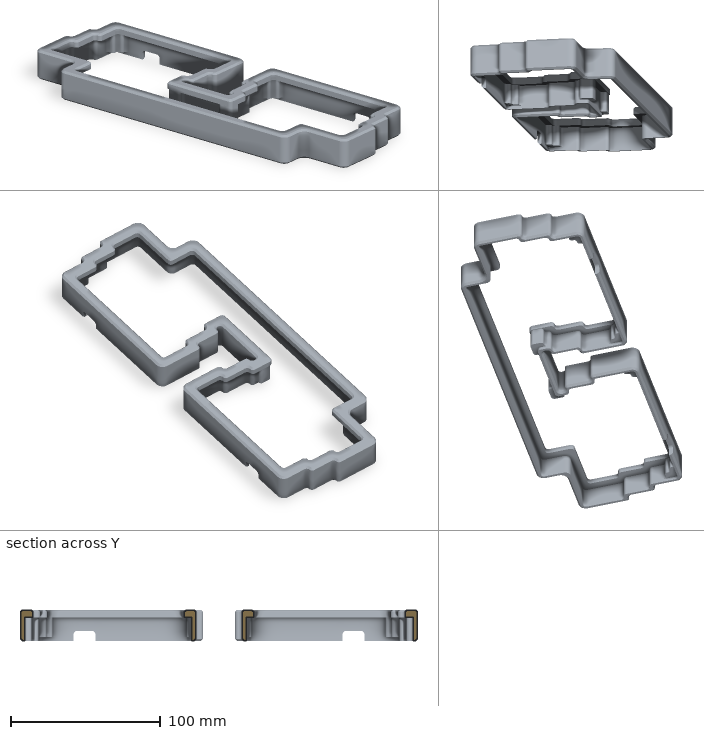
import cadquery as cq
import math

LENGTH = 264.6
DEPTH = 93.2
HEIGHT = 20.6
SIDE = LENGTH / 2
BACK = DEPTH / 2
FRONT = -DEPTH / 2

LIP_WIDTH = 7.5
WALL = 3.0
LIP_HEIGHT = 5.0
EDGE_CHAMFER = 1.3

ROW_PITCH = 19.0
OUTER_STEP = 4.5
STEP = 4.8
LIP_STEP_SHIFT = 5.0
RECESS_END_STEP_SHIFT = 2.6
RECESS_GAP_STEP_SHIFT = 1.9

CORNER_RADIUS = 5.0
INNER_RADIUS = 2.5
BOSS_RADIUS = 1.9
SHOULDER_RADIUS = 4.0
GAP_POCKET_RADIUS = 2.0
MIN_EDGE = 0.003

FRONT_HALF = 96.9
SHOULDER_Y = -27.5
GAP_HALF = 10.5
GAP_FLOOR_Y = -10.5
END_STEP_Y = BACK - 21.0
GAP_STEP_Y = BACK - 33.3

LIP_SIDE = 124.0
LIP_FRONT_HALF = 88.7
LIP_END_STEP_Y = END_STEP_Y - LIP_STEP_SHIFT
LIP_GAP_HALF = GAP_HALF + LIP_WIDTH
LIP_GAP_STEP_Y = GAP_STEP_Y + LIP_STEP_SHIFT
LIP_BACK = BACK - LIP_WIDTH
LIP_FRONT = FRONT + LIP_WIDTH
LIP_SHOULDER_Y = SHOULDER_Y + LIP_WIDTH
LIP_GAP_FLOOR_Y = GAP_FLOOR_Y - LIP_WIDTH

RECESS_SIDE = SIDE - WALL
RECESS_FRONT_HALF = FRONT_HALF - WALL
RECESS_END_STEP_Y = END_STEP_Y - RECESS_END_STEP_SHIFT
RECESS_GAP_HALF = GAP_HALF + WALL
RECESS_GAP_STEP_Y = GAP_STEP_Y + RECESS_GAP_STEP_SHIFT
RECESS_BACK = BACK - WALL
RECESS_FRONT = FRONT + WALL
RECESS_SHOULDER_Y = SHOULDER_Y + WALL
RECESS_GAP_FLOOR_Y = GAP_FLOOR_Y - WALL

BOSS_BOTTOM = 2.5
BOSS_INSET = 0.5
BACK_BOSS = 4.2
GAP_BOSS_FRONT = 10.3
GAP_BOSS_SIDE = 9.3

NOTCH_CENTER = 89.7
NOTCH_WIDTH = 14.5
NOTCH_HEIGHT = 6.5
NOTCH_RADIUS = 2.5


def end_steps(side, step, rear_y, radius):
    """Corners of the two steps that narrow an outer end towards the back."""
    front_y = rear_y - ROW_PITCH
    return [
        (side, front_y, radius),
        (side - step, front_y, radius),
        (side - step, rear_y, radius),
        (side - 2 * step, rear_y, radius),
    ]


def gap_steps(half, rear_y, radius):
    """Corners of the two steps that widen the gap towards the front."""
    front_y = rear_y - ROW_PITCH
    return [
        (half, rear_y, radius),
        (half + STEP, rear_y, radius),
        (half + STEP, front_y, radius),
        (half + 2 * STEP, front_y, radius),
    ]


def rounded_outline(right_half):
    """Closed wire through the (x, y, radius) corners and their mirror images."""
    left_half = [(-x, y, radius) for x, y, radius in reversed(right_half)]
    corners = right_half + left_half
    arcs = []
    for index, (x, y, radius) in enumerate(corners):
        corner = cq.Vector(x, y)
        before = cq.Vector(*corners[index - 1][:2])
        after = cq.Vector(*corners[(index + 1) % len(corners)][:2])
        to_before = (before - corner).normalized()
        to_after = (after - corner).normalized()
        diagonal = to_before + to_after
        middle = corner + diagonal * (radius * (1 - math.sqrt(0.5)))
        arcs.append((corner + to_before * radius, middle, corner + to_after * radius))

    first_start, first_middle, first_end = arcs[0]
    outline = cq.Workplane("XY").moveTo(first_start.x, first_start.y)
    outline = outline.threePointArc(first_middle.toTuple()[:2], first_end.toTuple()[:2])
    position = first_end
    for start, middle, end in arcs[1:]:
        if (start - position).Length > MIN_EDGE:
            outline = outline.lineTo(start.x, start.y)
        position = end
        outline = outline.threePointArc(middle.toTuple()[:2], end.toTuple()[:2])
    return outline.close()


def outside_corners():
    return [
        (FRONT_HALF, FRONT, CORNER_RADIUS),
        (FRONT_HALF, SHOULDER_Y, CORNER_RADIUS),
        (SIDE, SHOULDER_Y, CORNER_RADIUS),
        *end_steps(SIDE, OUTER_STEP, END_STEP_Y, OUTER_STEP / 2),
        (SIDE - 2 * OUTER_STEP, BACK, CORNER_RADIUS),
        (GAP_HALF, BACK, CORNER_RADIUS),
        *gap_steps(GAP_HALF, GAP_STEP_Y, STEP / 2),
        (GAP_HALF + 2 * STEP, GAP_FLOOR_Y, GAP_POCKET_RADIUS),
    ]


def lip_corners():
    return [
        (LIP_FRONT_HALF, LIP_FRONT, INNER_RADIUS),
        (LIP_FRONT_HALF, LIP_SHOULDER_Y, INNER_RADIUS),
        (LIP_SIDE, LIP_SHOULDER_Y, INNER_RADIUS),
        *end_steps(LIP_SIDE, STEP, LIP_END_STEP_Y, STEP / 2),
        (LIP_SIDE - 2 * STEP, LIP_BACK, INNER_RADIUS),
        (LIP_GAP_HALF, LIP_BACK, INNER_RADIUS),
        *gap_steps(LIP_GAP_HALF, LIP_GAP_STEP_Y, STEP / 2),
        (LIP_GAP_HALF + 2 * STEP, LIP_GAP_FLOOR_Y, INNER_RADIUS),
    ]


def recess_end_corners():
    """Recess corners from the front section round to the last step of the outer end."""
    return [
        (RECESS_FRONT_HALF, RECESS_FRONT, INNER_RADIUS),
        (RECESS_FRONT_HALF, RECESS_SHOULDER_Y, SHOULDER_RADIUS),
        (RECESS_SIDE, RECESS_SHOULDER_Y, INNER_RADIUS),
        *end_steps(RECESS_SIDE, OUTER_STEP, RECESS_END_STEP_Y, OUTER_STEP / 2),
    ]


def recess_corners():
    """Outline of the thin wall below the lip, without the bosses."""
    return [
        *recess_end_corners(),
        (RECESS_SIDE - 2 * OUTER_STEP, RECESS_BACK, INNER_RADIUS),
        (RECESS_GAP_HALF, RECESS_BACK, INNER_RADIUS),
        *gap_steps(RECESS_GAP_HALF, RECESS_GAP_STEP_Y, STEP / 2),
        (RECESS_GAP_HALF + 2 * STEP, RECESS_GAP_FLOOR_Y, INNER_RADIUS),
    ]


def back_boss(wall_x, lip_x, inward):
    """Corners around a boss in a back corner, starting on the side wall."""
    face_x = lip_x - inward * BOSS_INSET
    face_y = LIP_BACK + BOSS_INSET
    tip_x = face_x + inward * BACK_BOSS
    tip_y = face_y - BACK_BOSS
    return [
        (wall_x, tip_y, BOSS_RADIUS),
        (face_x, tip_y, BOSS_RADIUS),
        (face_x, face_y, BOSS_RADIUS),
        (tip_x, face_y, BOSS_RADIUS),
        (tip_x, RECESS_BACK, BOSS_RADIUS),
    ]


def gap_boss():
    """Corners around a boss at a front corner of the gap wall."""
    face_x = LIP_GAP_HALF + 2 * STEP - BOSS_INSET
    face_y = LIP_GAP_FLOOR_Y + BOSS_INSET
    side_y = face_y + GAP_BOSS_SIDE
    front_x = face_x - GAP_BOSS_FRONT
    return [
        (RECESS_GAP_HALF + 2 * STEP, side_y, BOSS_RADIUS),
        (face_x, side_y, BOSS_RADIUS),
        (face_x, face_y, INNER_RADIUS),
        (front_x, face_y, BOSS_RADIUS),
        (front_x, RECESS_GAP_FLOOR_Y, BOSS_RADIUS),
    ]


def bossed_recess_corners():
    """Outline of the recess with its bosses in the back corners and beside the gap."""
    return [
        *recess_end_corners(),
        *back_boss(RECESS_SIDE - 2 * OUTER_STEP, LIP_SIDE - 2 * STEP, -1),
        *reversed(back_boss(RECESS_GAP_HALF, LIP_GAP_HALF, 1)),
        *gap_steps(RECESS_GAP_HALF, RECESS_GAP_STEP_Y, STEP / 2),
        *gap_boss(),
    ]


def notch(center_x):
    """Cutter through the bottom of the back wall."""
    cutter_depth = 2 * LIP_WIDTH
    block = cq.Workplane("XY").box(
        NOTCH_WIDTH, cutter_depth, NOTCH_HEIGHT, centered=(True, True, False)
    )
    rounded_block = block.faces(">Z").edges("|Y").fillet(NOTCH_RADIUS)
    return rounded_block.translate((center_x, BACK, 0))


frame = rounded_outline(outside_corners()).extrude(HEIGHT)
frame = frame.faces("<Z").chamfer(EDGE_CHAMFER)
frame = frame.cut(rounded_outline(lip_corners()).extrude(HEIGHT))
frame = frame.faces(">Z").chamfer(EDGE_CHAMFER)
frame = frame.cut(rounded_outline(recess_corners()).extrude(BOSS_BOTTOM))
frame = frame.cut(rounded_outline(bossed_recess_corners()).extrude(HEIGHT - LIP_HEIGHT))
for center_x in (-NOTCH_CENTER, NOTCH_CENTER):
    frame = frame.cut(notch(center_x))

result = frame